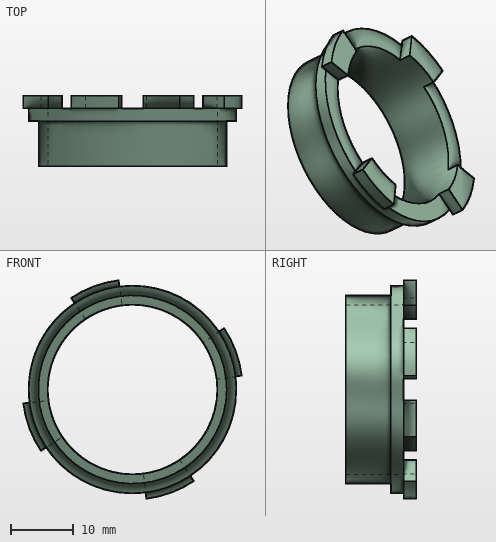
import cadquery as cq
import math

overall_width = 34.72

bore_diameter = 26.9
barrel_diameter = 29.9
flange_diameter = 33.0

barrel_length = 7.2
flange_thickness = 2.0
lug_thickness = 2.0
total_length = barrel_length + flange_thickness + lug_thickness

lug_count = 4
lug_start_angle = 7.2
lug_span = 26.6
lug_outer_radius = overall_width / 2 / math.cos(math.radians(lug_start_angle))
lug_inner_radius = bore_diameter / 4

front_y = -total_length / 2
flange_y = front_y + barrel_length
lug_y = flange_y + flange_thickness


def section_at(y):
    """Sketch plane at the given Y, with local x = +X and local y = +Z."""
    return cq.Workplane("XZ", origin=(0, y, 0))


def disc(diameter, y, length):
    """Solid disc growing from y towards +Y."""
    return section_at(y).circle(diameter / 2).extrude(-length)


def polar_point(radius, angle):
    """Point in the XZ section at the given radius and angle in degrees."""
    return (radius * math.cos(math.radians(angle)), radius * math.sin(math.radians(angle)))


def lug(start_angle):
    """Sector with radial ends and a round outer face, before boring."""
    middle_angle = start_angle + lug_span / 2
    end_angle = start_angle + lug_span
    return (
        section_at(lug_y)
        .moveTo(*polar_point(lug_inner_radius, start_angle))
        .lineTo(*polar_point(lug_outer_radius, start_angle))
        .threePointArc(
            polar_point(lug_outer_radius, middle_angle),
            polar_point(lug_outer_radius, end_angle),
        )
        .lineTo(*polar_point(lug_inner_radius, end_angle))
        .close()
        .extrude(-lug_thickness)
    )


barrel = disc(barrel_diameter, front_y, barrel_length)
flange = disc(flange_diameter, flange_y, flange_thickness)
bore = disc(bore_diameter, front_y, total_length)

body = barrel.union(flange)
for index in range(lug_count):
    body = body.union(lug(lug_start_angle + index * 360 / lug_count))

result = body.cut(bore)